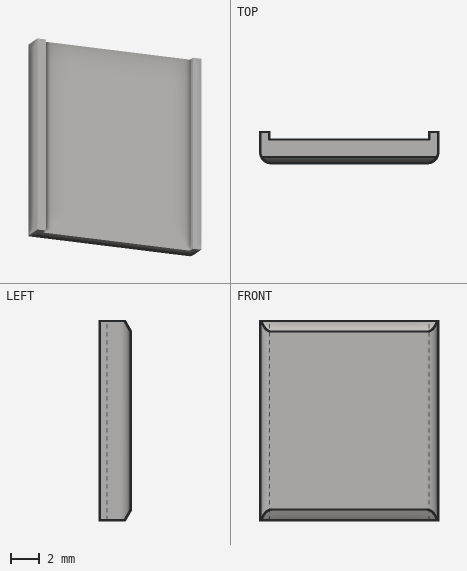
import cadquery as cq

width = 12.5
depth = 2.2
height = 14.0

side_radius = 0.8
bevel_height = 0.75
bevel_depth = 0.43

rail_width = 0.65
channel_depth = 0.52

plate = cq.Workplane("XY").box(width, depth, height)

plate = plate.edges("|Z and <Y").fillet(side_radius)


def back_channel():
    """Full-height cutter that leaves a rail along each side of the back."""
    channel = cq.Workplane("XY").box(width - 2 * rail_width, channel_depth, height)
    return channel.translate((0, (depth - channel_depth) / 2, 0))


def end_bevel(end):
    """Wedge cutter for the front edge at the top (end = 1) or bottom (end = -1)."""
    front = -depth / 2
    end_z = end * height / 2
    corners = [
        (front, end_z),
        (front, end_z - end * bevel_height),
        (front + bevel_depth, end_z),
    ]
    return cq.Workplane("YZ").polyline(corners).close().extrude(width / 2, both=True)


result = plate.cut(back_channel())
for end in (1, -1):
    result = result.cut(end_bevel(end))